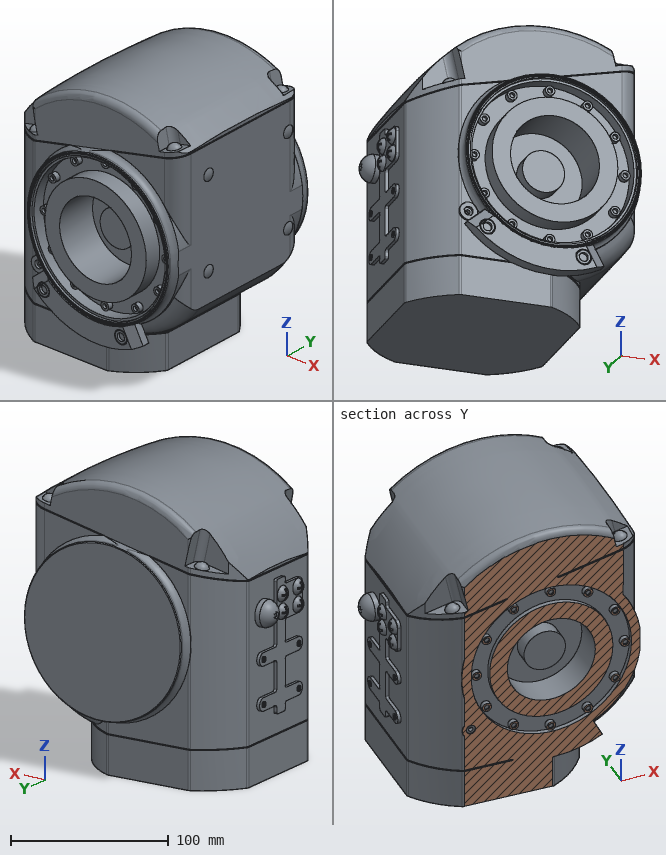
import cadquery as cq
import math


column_width = 118.4
column_left = -88.6
column_center_x = column_left + column_width / 2
column_round_radius = 68.0
side_flat_half = 34.9
front_flat_half = 30.8
column_edge_fillet = 4.0
half_depth = 60.0
base_bottom = -97.0
base_seam_z = -70.2

housing_right = 60.9
housing_radius = 73.0
housing_corner_fillet = 12.0
housing_lower_fillet = 20.0
cap_crown_radius = 98.38
cap_crown_drop = 2.0
cap_edge_fillet = 5.0

joint_tilt = 12.7
joint_height = 59.05
seam_depth = 0.4
seam_width = 0.6

notch_floor = joint_height + 3.8
notch_inner_y = 45.3
notch_fillet = 5.0
left_notch_wall = -44.4
right_notch_wall = 60.0
left_cap_screw = -52.0
right_cap_screw = 65.6
cap_screw_y = 51.8
cap_screw_radius = 4.9
cap_screw_height = 3.5

flange_radius = 59.3
flange_face_y = 68.0
flange_thickness = 2.0
flange_edge_chamfer = 0.6
neck_root_radius = 61.5
recess_radius = 54.8
recess_floor_y = 57.0
rim_step_radius = 56.5
rim_step_depth = 2.0
rim_groove_radius = 57.6
rim_groove_width = 0.6
ring_radius = 42.4
ring_face_y = 70.0
bore_radius = 30.0
bore_depth = 32.0
bore_boss_radius = 14.2
bore_boss_height = 11.0
hub_screw_count = 12
hub_screw_circle = 50.9
hub_screw_radius = 3.2
hub_screw_height = 4.0
hub_screw_socket = 1.7

clamp_radius = 74.8
clamp_face_y = 68.6
clamp_start_angle = 220.0
clamp_end_angle = 298.0
clamp_chamfer_width = 4.0
clamp_chamfer_depth = 7.0
clamp_screws = ((68.3, 228.9), (66.3, 287.5))
clamp_bore_radius = 5.2
clamp_bore_depth = 2.0
clamp_head_radius = 4.7
clamp_socket_radius = 3.0
pin_boss_circle = 67.8
pin_boss_angle = 215.7
pin_boss_radius = 6.0
pin_boss_height = 1.5
pin_hole_radius = 3.0
pin_hole_depth = 2.0
pin_socket_radius = 1.5
pin_socket_depth = 5.0

plate_thickness = 2.2
spine_width = 10.0
spine_top = 33.9
spine_bottom = -55.5
arm_heights = (-15.0, -44.9)
arm_length = 50.0
arm_width = 9.0
arm_screw_y = 20.5
arm_screw_radius = 2.0
arm_screw_height = 0.6
arm_socket_radius = 0.9
pad_outer_y = -24.8
pad_top = 28.8
pad_bottom = 5.5
plate_fillet = 1.5
pad_fillet = 4.0
cover_screw_ys = (-1.2, -19.1)
cover_screw_zs = (23.0, 11.3)
cover_screw_radius = 5.4
cover_screw_height = 3.8
cross_slot_width = 1.2
cross_slot_length = 7.0
cross_slot_depth = 1.6

plug_y = 18.0
plug_z = 15.0
plug_radius = 9.2
plug_collar = 3.6
plug_height = 10.78
plug_socket_radius = 2.3
plug_socket_depth = 1.5

rear_screw_places = ((46.5, 52.0), (-31.0, 52.0), (46.5, -17.0), (-31.0, -17.0))
rear_screw_radius = 4.6
rear_screw_height = 0.9

overlap = 1.0
large = 300.0


def dome(radius, collar, height):
    """Round head on the XY plane: a short cylinder below a ball segment."""
    rise = height - collar
    ball_radius = (radius**2 + rise**2) / (2 * rise)
    half_angle = math.asin(radius / ball_radius) / 2
    shoulder = (
        ball_radius * math.sin(half_angle),
        height - ball_radius * (1 - math.cos(half_angle)),
    )
    return (
        cq.Workplane("XZ")
        .moveTo(0, -overlap)
        .lineTo(radius, -overlap)
        .lineTo(radius, collar)
        .threePointArc(shoulder, (0, height))
        .close()
        .revolve(360, (0, 0, 0), (0, 1, 0))
    )


def front_disc(radius, from_y, to_y):
    """Cylinder along the hub axis between two distances in front of y = 0."""
    return cq.Workplane("XZ", origin=(0, -from_y, 0)).circle(radius).extrude(to_y - from_y)


def at_polar(piece, radius, angle):
    """Move a piece in the XZ plane to a polar position about the hub axis."""
    a = math.radians(angle)
    return piece.translate((radius * math.cos(a), 0, radius * math.sin(a)))


def in_joint_frame(piece):
    """Tilt a piece built with Z as the joint normal into place."""
    return piece.rotate((0, 0, 0), (0, 1, 0), -joint_tilt)


def facing_left(piece, x, y, z):
    """Turn a piece built along +Z to point along -X and place it."""
    return piece.rotate((0, 0, 0), (0, 1, 0), -90).translate((x, y, z))


def facing_right(piece, x, y, z):
    """Turn a piece built along +Z to point along +X and place it."""
    return piece.rotate((0, 0, 0), (0, 1, 0), 90).translate((x, y, z))


def column(bottom, top, inset=0.0):
    """Square column with broad round corners, optionally shrunk all round."""
    half_width = column_width / 2
    outline = (
        cq.Workplane("XY", origin=(column_center_x, 0, bottom))
        .moveTo(half_width, -side_flat_half)
        .lineTo(half_width, side_flat_half)
        .radiusArc((front_flat_half, half_depth), -column_round_radius)
        .lineTo(-front_flat_half, half_depth)
        .radiusArc((-half_width, side_flat_half), -column_round_radius)
        .lineTo(-half_width, -side_flat_half)
        .radiusArc((-front_flat_half, -half_depth), -column_round_radius)
        .lineTo(front_flat_half, -half_depth)
        .radiusArc((half_width, -side_flat_half), -column_round_radius)
        .close()
    )
    if inset:
        outline = outline.offset2D(-inset)
    return outline.extrude(top - bottom).edges("|Z").fillet(column_edge_fillet)


def elbow():
    """Housing behind the hub, rounded about the hub axis below right."""
    length = housing_right - column_center_x
    bottom = -housing_radius - overlap
    block = (
        cq.Workplane("XY", origin=(column_center_x + length / 2, 0, bottom))
        .rect(length, 2 * half_depth)
        .extrude(cap_crown_radius - bottom)
        .edges("|Z and >X")
        .fillet(housing_corner_fillet)
    )
    barrel = (
        cq.Workplane("XZ", origin=(0, half_depth, 0))
        .circle(housing_radius)
        .extrude(2 * half_depth)
        .edges()
        .fillet(housing_lower_fillet)
    )
    box = cq.Workplane("XY").box(large, large, large)
    lower_left = box.translate((-large / 2, 0, base_seam_z + large / 2))
    upper = box.translate((0, 0, large / 2))
    return block.intersect(barrel.union(lower_left).union(upper))


def cap_envelope():
    """Crowned barrel about the hub axis, open to everything below the hub."""
    edge_radius = cap_crown_radius - cap_crown_drop
    edge_y = half_depth - cap_edge_fillet
    side_radius = edge_radius - cap_edge_fillet
    half_chord = cap_edge_fillet * math.sin(math.pi / 4)
    barrel = (
        cq.Workplane("XY")
        .moveTo(0, -half_depth)
        .lineTo(side_radius, -half_depth)
        .threePointArc((side_radius + half_chord, -edge_y - half_chord), (edge_radius, -edge_y))
        .threePointArc((cap_crown_radius, 0), (edge_radius, edge_y))
        .threePointArc((side_radius + half_chord, edge_y + half_chord), (side_radius, half_depth))
        .lineTo(0, half_depth)
        .close()
        .revolve(360, (0, 0, 0), (0, 1, 0))
    )
    below = cq.Workplane("XY").box(large, large, large, centered=(True, True, False))
    return barrel.union(below.translate((0, 0, -large)))


def notches():
    """Four corner notches that clear the cap screws."""
    reach = large / 2
    cuts = cq.Workplane("XY")
    for wall, direction in ((left_notch_wall, -1), (right_notch_wall, 1)):
        for side in (-1, 1):
            corner = cq.Workplane("XY").box(reach, reach, reach, centered=(True, True, False))
            corner = corner.edges("|Z").fillet(notch_fillet)
            center_u = wall + direction * reach / 2
            center_y = side * (notch_inner_y + reach / 2)
            cuts = cuts.add(corner.translate((center_u, center_y, notch_floor)))
    return in_joint_frame(cuts.combine())


def cap_screws():
    heads = cq.Workplane("XY")
    for place in (left_cap_screw, right_cap_screw):
        for side in (-1, 1):
            head = dome(cap_screw_radius, 0, cap_screw_height)
            heads = heads.add(head.translate((place, side * cap_screw_y, notch_floor)))
    return in_joint_frame(heads.combine())


def neck():
    """Hub neck through the body, flaring into both side faces."""
    flange_back_y = flange_face_y - flange_thickness
    flare = neck_root_radius - flange_radius
    bend = (
        flange_radius + flare * (1 - math.cos(math.pi / 4)),
        flange_back_y - (flange_back_y - half_depth) * math.sin(math.pi / 4),
    )
    half = (
        cq.Workplane("XY")
        .lineTo(flange_radius, 0)
        .lineTo(neck_root_radius, 0)
        .lineTo(neck_root_radius, half_depth)
        .threePointArc(bend, (flange_radius, flange_back_y))
        .lineTo(flange_radius, flange_face_y - flange_edge_chamfer)
        .lineTo(flange_radius - flange_edge_chamfer, flange_face_y)
        .lineTo(0, flange_face_y)
        .close()
        .revolve(360, (0, 0, 0), (0, 1, 0))
    )
    both = half.union(half.mirror("XZ"))
    below_joint = cq.Workplane("XY").box(large, large, large, centered=(True, True, False))
    both = both.intersect(in_joint_frame(below_joint.translate((0, 0, joint_height - large))))
    left_of_face = cq.Workplane("XY").box(large, large, large)
    return both.intersect(left_of_face.translate((housing_right - large / 2, 0, 0)))


def hub_recess():
    """Recess in the front flange with a stepped and grooved rim."""
    recess = front_disc(recess_radius, recess_floor_y, flange_face_y)
    step = front_disc(rim_step_radius, flange_face_y - rim_step_depth, flange_face_y)
    groove_start = flange_face_y - rim_groove_width
    groove = front_disc(rim_groove_radius + rim_groove_width, groove_start, flange_face_y).cut(
        front_disc(rim_groove_radius, groove_start, flange_face_y)
    )
    return recess.union(step).union(groove)


def hub_ring():
    return front_disc(ring_radius, recess_floor_y - overlap, ring_face_y)


def hub_bore():
    bottom_y = ring_face_y - bore_depth
    boss = front_disc(bore_boss_radius, bottom_y, bottom_y + bore_boss_height)
    return front_disc(bore_radius, bottom_y, ring_face_y).cut(boss)


def hub_screws():
    top_y = recess_floor_y + hub_screw_height
    socket = front_disc(hub_screw_socket, top_y - hub_screw_height / 2, top_y)
    head = front_disc(hub_screw_radius, recess_floor_y - overlap, top_y).cut(socket)
    heads = cq.Workplane("XY")
    for index in range(hub_screw_count):
        heads = heads.add(at_polar(head, hub_screw_circle, index * 360 / hub_screw_count))
    return heads.combine()


def clamp():
    """Ring segment with chamfered ends and two sunk socket screws."""
    outline = cq.Workplane("XZ", origin=(0, -half_depth + overlap, 0))
    angles = (clamp_start_angle, (clamp_start_angle + clamp_end_angle) / 2, clamp_end_angle)
    inner_radius = flange_radius - overlap
    outer = []
    inner = []
    for angle in angles:
        a = math.radians(angle)
        outer.append((clamp_radius * math.cos(a), clamp_radius * math.sin(a)))
        inner.append((inner_radius * math.cos(a), inner_radius * math.sin(a)))
    segment = (
        outline.moveTo(*inner[0])
        .lineTo(*outer[0])
        .threePointArc(outer[1], outer[2])
        .lineTo(*inner[2])
        .threePointArc(inner[1], inner[0])
        .close()
        .extrude(clamp_face_y - half_depth + overlap)
    )
    segment = segment.faces("<Y").edges("%LINE").chamfer(clamp_chamfer_width, clamp_chamfer_depth)
    hub_clearance = front_disc(flange_radius, half_depth, clamp_face_y)
    segment = segment.cut(hub_clearance)
    floor_y = clamp_face_y - clamp_bore_depth
    for radius, angle in clamp_screws:
        bore = front_disc(clamp_bore_radius, floor_y, clamp_face_y)
        head = front_disc(clamp_head_radius, floor_y, clamp_face_y)
        socket = front_disc(clamp_socket_radius, floor_y, clamp_face_y)
        segment = segment.cut(at_polar(bore.cut(head).union(socket), radius, angle))
    return segment


def pin_boss():
    boss = front_disc(pin_boss_radius, half_depth - overlap, half_depth + pin_boss_height)
    return at_polar(boss, pin_boss_circle, pin_boss_angle)


def pin_hole():
    top_y = half_depth + pin_boss_height
    hole = front_disc(pin_hole_radius, top_y - pin_hole_depth, top_y)
    socket = front_disc(pin_socket_radius, top_y - pin_socket_depth, top_y)
    return at_polar(hole.union(socket), pin_boss_circle, pin_boss_angle)


def cover_plate():
    """Spine with two cross arms and a terminal pad."""
    plane = cq.Workplane("YZ", origin=(column_left + overlap, 0, 0))
    depth = -(plate_thickness + overlap)
    spine_center = (spine_top + spine_bottom) / 2
    plate = plane.center(0, spine_center).rect(spine_width, spine_top - spine_bottom).extrude(depth)
    pad = (
        plane.center(pad_outer_y / 2, (pad_top + pad_bottom) / 2)
        .rect(-pad_outer_y, pad_top - pad_bottom)
        .extrude(depth)
        .edges("|X and <Y")
        .fillet(pad_fillet)
    )
    plate = plate.union(pad)
    for height in arm_heights:
        plate = plate.union(plane.center(0, height).slot2D(arm_length, arm_width).extrude(depth))
    reach_y = spine_width / 2 + overlap
    along_spine = cq.selectors.BoxSelector((-large, -reach_y, -large), (large, reach_y, large))
    return plate.edges("|X").edges(along_spine).fillet(plate_fillet)


def cover_screws():
    head = dome(cover_screw_radius, 0, cover_screw_height)
    cross = cq.Workplane("XY").rect(cross_slot_length, cross_slot_width).extrude(cross_slot_depth)
    cross = cross.union(cross.rotate((0, 0, 0), (0, 0, 1), 90))
    head = head.cut(cross.translate((0, 0, cover_screw_height - cross_slot_depth)))
    heads = cq.Workplane("XY")
    for y in cover_screw_ys:
        for z in cover_screw_zs:
            heads = heads.add(facing_left(head, column_left - plate_thickness, y, z))
    return heads.combine()


def arm_screws():
    head = cq.Workplane("XY").circle(arm_screw_radius).circle(arm_socket_radius).extrude(arm_screw_height)
    heads = cq.Workplane("XY")
    for y in (-arm_screw_y, arm_screw_y):
        for z in arm_heights:
            heads = heads.add(facing_left(head, column_left - plate_thickness, y, z))
    return heads.combine()


def plug():
    socket = cq.Workplane("XY").polygon(6, 2 * plug_socket_radius).extrude(plug_socket_depth)
    body = dome(plug_radius, plug_collar, plug_height)
    body = body.cut(socket.translate((0, 0, plug_height - plug_socket_depth)))
    return facing_left(body, column_left, plug_y, plug_z)


def rear_screws():
    heads = cq.Workplane("XY")
    for y, z in rear_screw_places:
        heads = heads.add(facing_right(dome(rear_screw_radius, 0, rear_screw_height), housing_right, y, z))
    return heads.combine()


def base_seam():
    """Fine groove round the column where the base begins."""
    slab = cq.Workplane("XY", origin=(0, 0, base_seam_z)).rect(large, large).extrude(seam_width)
    return slab.cut(column(base_seam_z, base_seam_z + seam_width, seam_depth))


def joint_seam():
    """Fine groove round the housing along the tilted joint."""
    slab = in_joint_frame(
        cq.Workplane("XY", origin=(0, 0, joint_height - seam_width)).rect(large, large).extrude(seam_width)
    )
    core_right = housing_right - seam_depth
    core_length = core_right - column_center_x
    elbow_core = (
        cq.Workplane("XY", origin=((core_right + column_center_x) / 2, 0, 0))
        .rect(core_length, 2 * (half_depth - seam_depth))
        .extrude(cap_crown_radius)
        .edges("|Z and >X")
        .fillet(housing_corner_fillet)
    )
    return slab.cut(column(0, cap_crown_radius, seam_depth).union(elbow_core))


def housing():
    """Column and elbow under the crowned cap."""
    return column(base_bottom, cap_crown_radius).union(elbow()).intersect(cap_envelope())


result = housing().cut(base_seam()).cut(joint_seam()).union(neck())
result = result.cut(notches()).union(cap_screws())
result = result.cut(hub_recess()).union(hub_ring()).cut(hub_bore()).union(hub_screws())
result = result.union(clamp()).union(pin_boss()).cut(pin_hole())
result = result.union(cover_plate()).union(cover_screws()).union(arm_screws()).union(plug())
result = result.union(rear_screws())